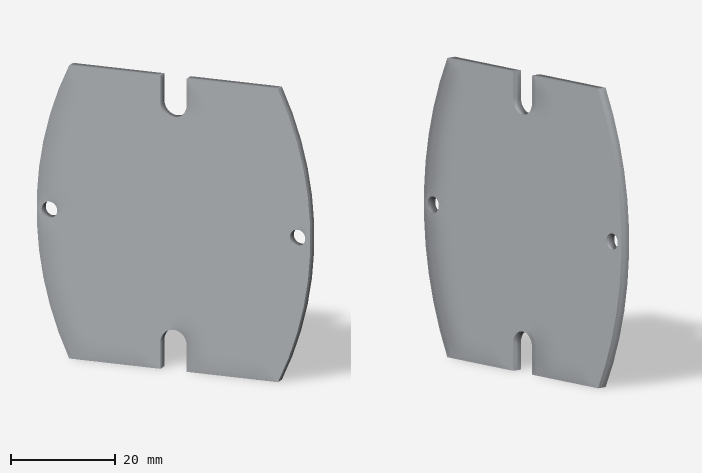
import cadquery as cq

height = 58.0
width = 56.6
thickness = 2.0
flat_edge_length = 43.15

slot_width = 5.4
slot_depth = 8.0

hole_diameter = 3.2
hole_spacing = 51.3


def make_plate():
    """Plate with straight top and bottom edges and sides bowed outward."""
    half_width = width / 2
    half_height = height / 2
    half_edge = flat_edge_length / 2
    return (
        cq.Workplane("XZ")
        .moveTo(-half_edge, -half_height)
        .lineTo(half_edge, -half_height)
        .threePointArc((half_width, 0), (half_edge, half_height))
        .lineTo(-half_edge, half_height)
        .threePointArc((-half_width, 0), (-half_edge, -half_height))
        .close()
        .extrude(thickness / 2, both=True)
    )


def make_edge_slots():
    """Slots centred on the two straight edges, so half of each cuts the plate."""
    return (
        cq.Workplane("XZ")
        .pushPoints([(0, -height / 2), (0, height / 2)])
        .slot2D(2 * slot_depth, slot_width, 90)
        .extrude(thickness, both=True)
    )


def make_side_holes():
    """Cylinders for the pair of holes on the horizontal centreline."""
    return (
        cq.Workplane("XZ")
        .pushPoints([(-hole_spacing / 2, 0), (hole_spacing / 2, 0)])
        .circle(hole_diameter / 2)
        .extrude(thickness, both=True)
    )


result = make_plate().cut(make_edge_slots()).cut(make_side_holes())